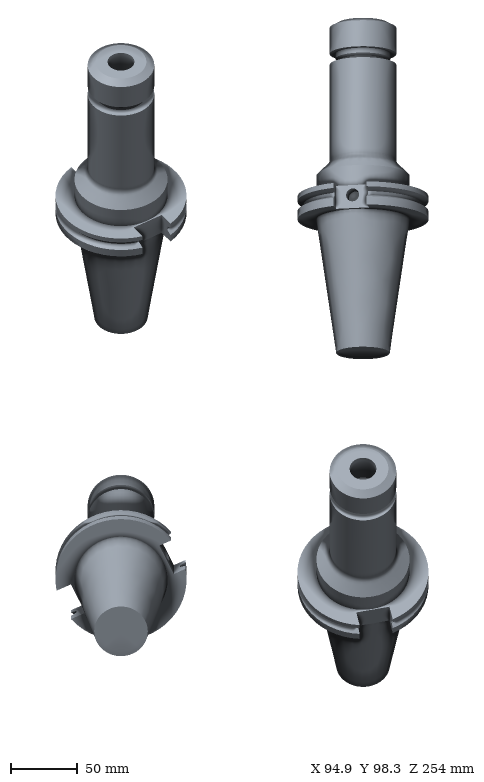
import cadquery as cq
import math

taper_length = 101.5
gauge_radius = 69.8 / 2
taper_rate = 7 / 24
taper_end_radius = gauge_radius - taper_length * taper_rate / 2

flange_radius = 98.3 / 2
flange_bottom = 102.9
flange_top = 120.6
groove_radius = 44.7
groove_bottom = 109.2
groove_floor_bottom = 111.5
groove_floor_top = 114.3
groove_top = 116.8

slot_width = 25.5
left_slot_floor = 37.8
right_slot_floor = 35.5
slot_hole_diameter = 10.0
slot_hole_depth = 10.2
slot_hole_height = 113.0

shoulder_top = 136.7
body_radius = 50.0 / 2
body_top = 222.2
fillet_radius = 5.3
fillet_sweep = math.radians(45)
cone_top_radius = body_radius + fillet_radius * (1 - math.cos(fillet_sweep))
cone_top = shoulder_top + gauge_radius - cone_top_radius
fillet_top = cone_top + fillet_radius * math.sin(fillet_sweep)
fillet_middle = (
    body_radius + fillet_radius * (1 - math.cos(fillet_sweep / 2)),
    fillet_top - fillet_radius * math.sin(fillet_sweep / 2),
)

total_height = 254.0
neck_radius = 18.8
neck_top = 225.0
collar_radius = 20.5
collar_bottom = 226.8
nut_bottom = 230.6
nut_top_radius = 19.0
nut_chamfer_height = 3.3
bore_diameter = 20.0
bore_depth = 25.5


def turned_body():
    """Solid of revolution about Z, from the taper up to the nut."""
    return (
        cq.Workplane("XZ")
        .lineTo(taper_end_radius, 0)
        .lineTo(gauge_radius, taper_length)
        .lineTo(gauge_radius, flange_bottom)
        .lineTo(flange_radius, flange_bottom)
        .lineTo(flange_radius, groove_bottom)
        .lineTo(groove_radius, groove_floor_bottom)
        .lineTo(groove_radius, groove_floor_top)
        .lineTo(flange_radius, groove_top)
        .lineTo(flange_radius, flange_top)
        .lineTo(gauge_radius, flange_top)
        .lineTo(gauge_radius, shoulder_top)
        .lineTo(cone_top_radius, cone_top)
        .threePointArc(fillet_middle, (body_radius, fillet_top))
        .lineTo(body_radius, body_top)
        .lineTo(neck_radius, body_top)
        .lineTo(neck_radius, neck_top)
        .lineTo(collar_radius, collar_bottom)
        .lineTo(collar_radius, nut_bottom)
        .lineTo(body_radius, nut_bottom)
        .lineTo(body_radius, total_height - nut_chamfer_height)
        .lineTo(nut_top_radius, total_height)
        .lineTo(0, total_height)
        .close()
        .revolve(360, (0, 0), (0, 1))
    )


def driving_slot(side, floor):
    """Cutter for the slot on the +X (side = 1) or -X (side = -1) side."""
    return (
        cq.Workplane("XY", origin=(side * (floor + flange_radius / 2), 0, flange_bottom))
        .rect(flange_radius, slot_width)
        .extrude(flange_top - flange_bottom)
    )


def slot_hole():
    """Cutter for the blind round hole in the floor of the -X slot."""
    return (
        cq.Workplane("YZ", origin=(-left_slot_floor, 0, slot_hole_height))
        .circle(slot_hole_diameter / 2)
        .extrude(slot_hole_depth)
    )


def nut_bore():
    """Cutter for the blind bore in the top of the nut."""
    return (
        cq.Workplane("XY", origin=(0, 0, total_height - bore_depth))
        .circle(bore_diameter / 2)
        .extrude(bore_depth)
    )


result = (
    turned_body()
    .cut(driving_slot(-1, left_slot_floor))
    .cut(driving_slot(1, right_slot_floor))
    .cut(slot_hole())
    .cut(nut_bore())
)